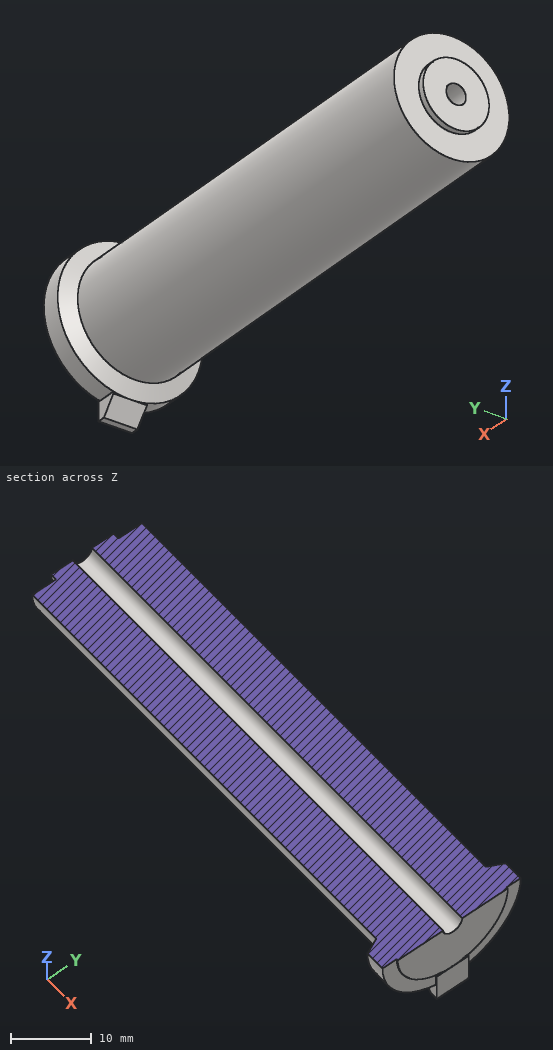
import cadquery as cq

total_length = 73.0
spigot_length = 0.95
flange_rim_width = 3.0
flange_cone_length = 1.1
rim_step_width = 0.2

bore_diameter = 3.0
spigot_diameter = 10.0
body_diameter = 17.5
flange_diameter = 22.05

tab_width = 5.1
tab_bottom = 13.5
tab_tip_length = 1.2

body_start = spigot_length
rim_start = total_length - flange_rim_width - rim_step_width
rim_end = total_length - rim_step_width
cone_start = rim_start - flange_cone_length
body_radius = body_diameter / 2
flange_radius = flange_diameter / 2


def revolved_body():
    """Spigot, cylindrical body and coned flange turned about the X axis."""
    profile = [
        (0, 0),
        (0, spigot_diameter / 2),
        (body_start, spigot_diameter / 2),
        (body_start, body_radius),
        (cone_start, body_radius),
        (rim_start, flange_radius),
        (rim_end, flange_radius),
        (rim_end, body_radius),
        (total_length, body_radius),
        (total_length, 0),
    ]
    return cq.Workplane("XY").polyline(profile).close().revolve(360, (0, 0, 0), (1, 0, 0))


def locating_tab():
    """Tab with a sloped front face, rooted inside the flange."""
    side = [
        (rim_start, -body_radius),
        (rim_start, -flange_radius),
        (total_length - tab_tip_length, -tab_bottom),
        (total_length, -tab_bottom),
        (total_length, -body_radius),
    ]
    return cq.Workplane("XZ").polyline(side).close().extrude(tab_width / 2, both=True)


def through_bore():
    return cq.Workplane("YZ").circle(bore_diameter / 2).extrude(total_length)


result = revolved_body().union(locating_tab()).cut(through_bore())